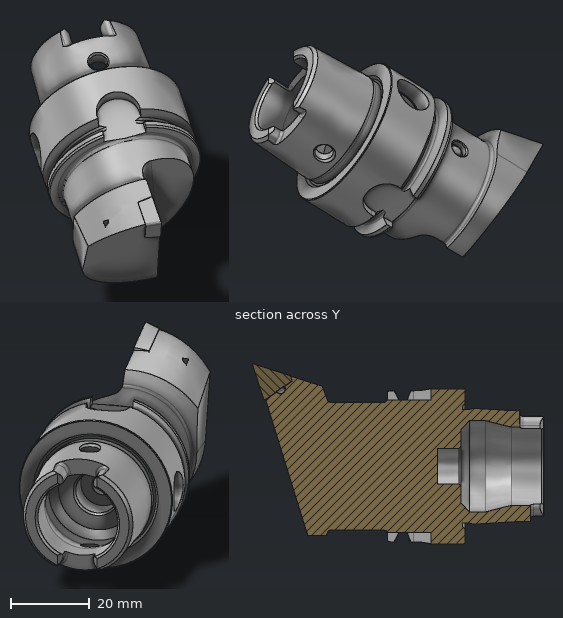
import cadquery as cq
import math


shank_mouth_radius = 13.5
shank_small_radius = 14.3
shank_big_radius = 15.1
shank_end_chamfer = 0.8
shank_taper_end = 18.0
relief_start = 18.7
relief_radius = 14.9

flange_start = 20.0
flange_radius = 20.0
flange_chamfer = 0.2
recess_depth = 0.6
recess_floor_radius = 15.6
recess_outer_radius = 16.25
groove_start = 33.85
groove_floor_start = 34.75
groove_floor_level = 35.4
groove_floor_end = 36.0
groove_root_length = 0.75
groove_root_rise = 0.45
groove_end = 37.9
groove_floor_radius = 17.3
groove_corner_rise = 0.3
rim_chamfer_length = 0.6
rim_chamfer_drop = 0.2
flange_end = 39.7

neck_radius = 16.55
neck_root_fillet = 1.1
neck_end = 53.9
flare_fillet = 1.0
flare_angle = 69.0
flare_rim_radius = 29.95

bore_mouth_radius = 11.0
bore_radius = 10.4
bore_length = 8.25
bore_floor_radius = 9.9
cavity_start = 14.75
cavity_radius = 12.0
bore_floor = 21.0
pilot_radius = 5.55
pilot_chamfer = 0.5
pilot_floor = 27.0
centre_drill_radius = 2.6
drill_point_half_angle = 59

slot_half_width = 4.0
slot_flare_radius = 2.4
slot_flare_height = 12.7
slot_end_fillet = 0.75
slot_mouth_chamfer = 1.0
slot_mouth_half_width = 5.2
upper_slot_depth = 6.1
lower_slot_depth = 3.4

cross_hole_x = 13.7
cross_hole_radius = 2.3
cross_hole_sink_radius = 2.9

key_end = 27.6
key_half_width = 5.55
key_floor = 16.85

chip_x = 26.9
chip_radius = 5.0
chip_floor_chamfer = 0.2
chip_floor_y = -15.4

ball_x = 44.8
ball_tilt = 14.7
ball_diameter = 3.6
ball_centre_radius = 14.15
ball_hole_bottom = 12.0
ball_counterbore_diameter = 4.35
ball_counterbore_bottom = 14.6
ball_sink_diameter = 5.2

head_radius = 18.0
head_inner_y = 7.5
head_start = 53.9
head_length = 21.7
crown_start_radius = 21.95
crown_start_z = -2.0
crown_end_radius = 24.5
crown_end_z = 2.25
end_face_x = 65.55
end_face_lean = 17.2
end_face_turn = 2.4

chip_slope_x = 45.1
chip_slope_angle = 14.0
chip_corner_radius = 4.1
chip_face_y = 1.4
chip_face_angle = 2.1
chip_face_tilt = 3.0

screw_x = 66.8
screw_z = 19.6
screw_hole_radius = 1.2
screw_hole_end_y = -12.8

insert_front_x = 74.9
insert_top_z = 27.05
insert_side = 11.6
insert_tip_angle = 55.0
insert_edge_angle = 17.3
insert_thickness = 4.0
insert_relief = 9.0
insert_corner_radius = 0.4

beyond = 44.95


def tangent(angle):
    return math.tan(math.radians(angle))


def turned_body():
    """Shank, flange and neck, revolved about the tool axis up to the root of the head."""
    fillet_mid = neck_root_fillet * (1 - math.sqrt(0.5))
    profile = (
        cq.Workplane("XY")
        .moveTo(0, 0)
        .lineTo(0, shank_mouth_radius)
        .lineTo(shank_end_chamfer, shank_small_radius)
        .lineTo(shank_taper_end, shank_big_radius)
        .lineTo(relief_start, relief_radius)
        .lineTo(flange_start + recess_depth, relief_radius)
        .lineTo(flange_start + recess_depth, recess_floor_radius)
        .lineTo(flange_start, recess_outer_radius)
        .lineTo(flange_start, flange_radius - flange_chamfer)
        .lineTo(flange_start + flange_chamfer, flange_radius)
        .lineTo(groove_start, flange_radius)
        .lineTo(groove_floor_start, groove_floor_radius + groove_corner_rise)
        .lineTo(groove_floor_level, groove_floor_radius)
        .lineTo(groove_floor_end, groove_floor_radius)
        .tangentArcPoint((groove_root_length, groove_root_rise))
        .lineTo(groove_end, flange_radius)
        .lineTo(flange_end - rim_chamfer_length, flange_radius)
        .lineTo(flange_end, flange_radius - rim_chamfer_drop)
        .lineTo(flange_end, neck_radius + neck_root_fillet)
        .threePointArc(
            (flange_end + fillet_mid, neck_radius + fillet_mid),
            (flange_end + neck_root_fillet, neck_radius),
        )
        .lineTo(neck_end, neck_radius)
        .lineTo(neck_end, 0)
        .close()
    )
    return profile.revolve(360, (0, 0, 0), (1, 0, 0))


def head():
    """Head with a round underside, a flat flank and a sloping crown, backed by a conical flare."""
    round_side = cq.Workplane("YZ", origin=(head_start, 0, 0)).circle(head_radius).extrude(head_length)
    crown = (
        cq.Workplane("YZ", origin=(head_start, 0, 0))
        .center(0, crown_start_z)
        .circle(crown_start_radius)
        .workplane(offset=head_length)
        .center(0, crown_end_z - crown_start_z)
        .circle(crown_end_radius)
        .loft(ruled=True)
    )
    upright = cq.Workplane("XY").box(
        head_length, head_radius + head_inner_y, beyond, centered=False
    ).translate((head_start, -head_radius, 0))
    envelope = round_side.union(upright.intersect(crown))
    turn = math.radians(flare_angle)
    flare_foot_x = neck_end + flare_fillet * math.sin(turn)
    flare_foot_radius = neck_radius + flare_fillet * (1 - math.cos(turn))
    flare_rim_x = flare_foot_x + (flare_rim_radius - flare_foot_radius) / math.tan(turn)
    flare = (
        cq.Workplane("XY")
        .moveTo(neck_end - neck_root_fillet, 0)
        .lineTo(neck_end - neck_root_fillet, neck_radius)
        .lineTo(neck_end, neck_radius)
        .tangentArcPoint((flare_foot_x, flare_foot_radius), relative=False)
        .lineTo(flare_rim_x, flare_rim_radius)
        .lineTo(head_start + head_length, flare_rim_radius)
        .lineTo(head_start + head_length, 0)
        .close()
        .revolve(360, (0, 0, 0), (1, 0, 0))
    )
    return envelope.intersect(flare)


def end_face_cutter():
    """Everything in front of the leaning end face of the head."""
    lean = beyond * tangent(end_face_lean)
    return (
        cq.Workplane("XZ")
        .polyline([
            (end_face_x - lean, -beyond),
            (end_face_x + lean, beyond),
            (end_face_x + beyond, beyond),
            (end_face_x + beyond, -beyond),
        ])
        .close()
        .extrude(beyond, both=True)
        .rotate((end_face_x, 0, 0), (end_face_x, 0, 1), -end_face_turn)
    )


def chip_face_cutter():
    """Everything on the +Y side of the chip face and of the slope that leads to it."""
    slope = tangent(chip_slope_angle)
    rise = tangent(chip_face_angle)
    slope_foot_x = chip_slope_x + slope * neck_radius
    corner_x = (slope_foot_x - slope * (chip_face_y + rise * insert_front_x)) / (1 - slope * rise)
    corner_y = chip_face_y + rise * (insert_front_x - corner_x)
    far_x = insert_front_x + beyond
    return (
        cq.Workplane("XY", origin=(0, 0, -beyond))
        .polyline([
            (slope_foot_x - slope * beyond, beyond),
            (corner_x, corner_y),
            (far_x, chip_face_y - rise * beyond),
            (far_x, beyond),
        ])
        .close()
        .extrude(2 * beyond)
        .edges(cq.selectors.NearestToPointSelector((corner_x, corner_y, 0)))
        .fillet(chip_corner_radius)
        .rotate((0, 0, 0), (1, 0, 0), chip_face_tilt)
    )


def clamping_bore():
    """Bore that widens to a cavity, then ends in a pilot hole and a centre-drilled point."""
    mouth_chamfer = bore_mouth_radius - bore_radius
    point = pilot_floor + centre_drill_radius / tangent(drill_point_half_angle)
    return (
        cq.Workplane("XY")
        .polyline([
            (0, 0),
            (0, bore_mouth_radius),
            (mouth_chamfer, bore_radius),
            (bore_length, bore_radius),
            (cavity_start, cavity_radius),
            (bore_floor - cavity_radius + bore_floor_radius, cavity_radius),
            (bore_floor, bore_floor_radius),
            (bore_floor, pilot_radius + pilot_chamfer),
            (bore_floor + pilot_chamfer, pilot_radius),
            (pilot_floor, pilot_radius),
            (pilot_floor, centre_drill_radius),
            (point, 0),
        ])
        .close()
        .revolve(360, (0, 0, 0), (1, 0, 0))
    )


def drive_slot(depth):
    """Slot across the upper side of the shank end, with rounded shoulders and a chamfered mouth."""
    shoulder_y = slot_half_width + slot_flare_radius
    flare_foot_z = slot_flare_height - slot_flare_radius
    arc_mid = slot_flare_radius * (1 - math.sqrt(0.5))
    slot = (
        cq.Workplane("YZ")
        .moveTo(-slot_half_width, 0)
        .lineTo(-slot_half_width, flare_foot_z)
        .threePointArc(
            (-slot_half_width - arc_mid, slot_flare_height - arc_mid),
            (-shoulder_y, slot_flare_height),
        )
        .lineTo(-flange_radius, slot_flare_height)
        .lineTo(-flange_radius, flange_radius)
        .lineTo(flange_radius, flange_radius)
        .lineTo(flange_radius, slot_flare_height)
        .lineTo(shoulder_y, slot_flare_height)
        .threePointArc(
            (slot_half_width + arc_mid, slot_flare_height - arc_mid),
            (slot_half_width, flare_foot_z),
        )
        .lineTo(slot_half_width, 0)
        .close()
        .extrude(depth)
        .faces(">X")
        .edges("|Z")
        .fillet(slot_end_fillet)
    )
    mouth = (
        cq.Workplane("XY")
        .polyline([
            (0, -slot_mouth_half_width),
            (slot_mouth_chamfer, -slot_half_width),
            (slot_mouth_chamfer, slot_half_width),
            (0, slot_mouth_half_width),
        ])
        .close()
        .extrude(flange_radius)
    )
    return slot.union(mouth)


def cross_hole():
    """Through hole across the shank, countersunk where it leaves the taper on both sides."""
    sink = cross_hole_sink_radius - cross_hole_radius
    sink_start = shank_small_radius + sink
    profile = [
        (0, 0),
        (cross_hole_radius, 0),
        (cross_hole_radius, shank_small_radius),
        (cross_hole_sink_radius, sink_start),
        (cross_hole_sink_radius, flange_radius),
        (0, flange_radius),
    ]
    half = (
        cq.Workplane("XZ")
        .polyline(profile)
        .close()
        .revolve(360, (0, 0, 0), (0, 1, 0))
        .translate((cross_hole_x, 0, 0))
    )
    return half.union(half.mirror("XY"))


def keyway():
    """Round-ended keyway in the upper side of the flange, open toward the neck."""
    centre_x = key_end + key_half_width
    return (
        cq.Workplane("XY", origin=(0, 0, key_floor))
        .moveTo(centre_x, -key_half_width)
        .threePointArc((key_end, 0), (centre_x, key_half_width))
        .lineTo(flange_end + neck_root_fillet, key_half_width)
        .lineTo(flange_end + neck_root_fillet, -key_half_width)
        .close()
        .extrude(flange_radius - key_floor)
    )


def chip_pocket():
    return (
        cq.Workplane("XZ", origin=(chip_x, chip_floor_y, 0))
        .circle(chip_radius)
        .extrude(flange_radius + chip_floor_y)
        .faces(">Y")
        .chamfer(chip_floor_chamfer)
    )


def radial_to_ball(shape):
    """Swing a shape that stands on the Z axis to the radial axis of the coolant ball."""
    return shape.rotate((0, 0, 0), (1, 0, 0), 90 + ball_tilt).translate((ball_x, 0, 0))


def ball_hole():
    """Radial hole with a counterbore and a countersunk rim, in which the coolant ball sits."""
    sink = (ball_sink_diameter - ball_counterbore_diameter) / 2
    profile = [
        (0, ball_hole_bottom),
        (ball_diameter / 2, ball_hole_bottom),
        (ball_diameter / 2, ball_counterbore_bottom),
        (ball_counterbore_diameter / 2, ball_counterbore_bottom),
        (ball_counterbore_diameter / 2, neck_radius - sink),
        (ball_sink_diameter / 2, neck_radius),
        (ball_sink_diameter / 2, flange_radius),
        (0, flange_radius),
    ]
    hole = cq.Workplane("XZ").polyline(profile).close().revolve(360, (0, 0, 0), (0, 1, 0))
    return radial_to_ball(hole)


def screw_hole():
    """Blind hole from inside the insert pocket to the surface of the crown."""
    return (
        cq.Workplane("XZ", origin=(screw_x, 0, screw_z))
        .circle(screw_hole_radius)
        .extrude(-screw_hole_end_y)
    )


def make_holder(insert):
    holder = turned_body().union(head())
    holder = holder.cut(end_face_cutter())
    holder = holder.cut(chip_face_cutter())
    holder = holder.cut(clamping_bore())
    holder = holder.cut(drive_slot(upper_slot_depth))
    holder = holder.cut(drive_slot(lower_slot_depth).mirror("XY"))
    holder = holder.cut(cross_hole())
    holder = holder.cut(keyway())
    holder = holder.cut(keyway().mirror("XY"))
    holder = holder.cut(chip_pocket())
    holder = holder.cut(ball_hole())
    holder = holder.cut(screw_hole())
    return holder.cut(insert)


def make_insert():
    """Rhombic insert, flush with the chip face, narrowing below its cutting edges."""
    tilt = cq.Vector(tangent(chip_face_angle), 1, tangent(chip_face_tilt))
    edge_rise = tangent(chip_face_angle) + tangent(insert_edge_angle) * tangent(chip_face_tilt)
    edge = cq.Vector(-1, edge_rise, -tangent(insert_edge_angle))
    tip_y = chip_face_y - insert_top_z * tangent(chip_face_tilt)
    plane = cq.Plane(origin=(insert_front_x, tip_y, insert_top_z), xDir=edge, normal=tilt * -1)
    angle = math.radians(insert_tip_angle)
    reach = insert_side * math.cos(angle)
    rise = insert_side * math.sin(angle)
    body = (
        cq.Workplane(plane)
        .polyline([
            (0, 0),
            (insert_side, 0),
            (insert_side + reach, rise),
            (reach, rise),
        ])
        .close()
        .extrude(insert_thickness, taper=insert_relief)
        .edges(">X")
        .fillet(insert_corner_radius)
    )
    box = body.val().BoundingBox()
    slide_x = insert_front_x - box.xmax
    slide_z = insert_top_z - box.zmax
    slide_y = -slide_x * tangent(chip_face_angle) - slide_z * tangent(chip_face_tilt)
    return body.translate((slide_x, slide_y, slide_z))


def make_ball():
    ball = cq.Workplane("XY").sphere(ball_diameter / 2).translate((0, 0, ball_centre_radius))
    return radial_to_ball(ball)


insert = make_insert()
coolant_ball = make_ball()
holder = make_holder(insert)

result = cq.Compound.makeCompound([holder.val(), insert.val(), coolant_ball.val()])